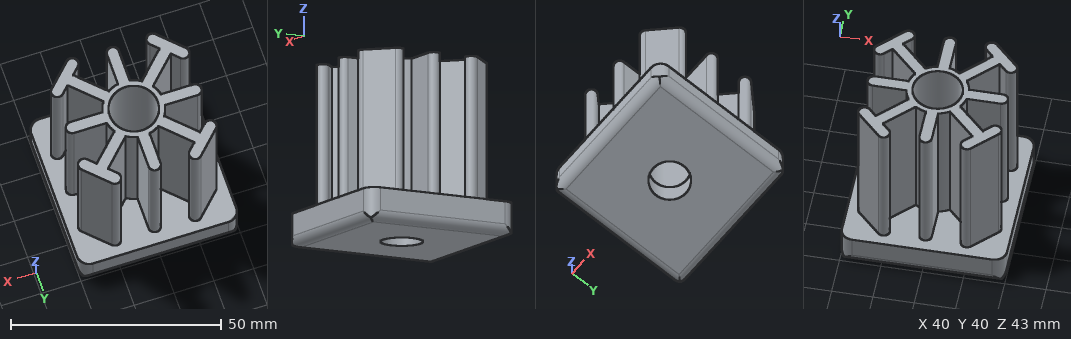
import cadquery as cq

total_height = 43.0
base_width = 40.0
base_height = 8.0
corner_radius = 3.0
bottom_edge_radius = 2.5

tube_diameter = 14.95
bore_diameter = 12.0
base_hole_diameter = 10.1

rib_width = 3.0
straight_rib_reach = 17.0
bar_center_distance = 18.3
bar_length = 11.1

stem_height = total_height - base_height


def make_base():
    """Square cap whose rounded bottom edges meet in mitres, trimmed by rounded vertical corners."""
    cap = cq.Workplane("XY").box(base_width, base_width, base_height, centered=(True, True, False))
    cap = cap.faces("<Z").edges().fillet(bottom_edge_radius)
    corner_trim = (
        cq.Workplane("XY")
        .rect(base_width, base_width)
        .extrude(base_height)
        .edges("|Z")
        .fillet(corner_radius)
    )
    return cap.intersect(corner_trim)


def make_straight_rib(angle):
    """Rib running out from the axis to a rounded tip."""
    slot_length = straight_rib_reach + rib_width / 2
    return (
        cq.Workplane("XY", origin=(0, 0, base_height))
        .center(straight_rib_reach - slot_length / 2, 0)
        .slot2D(slot_length, rib_width)
        .extrude(stem_height)
        .rotate((0, 0, 0), (0, 0, 1), angle)
    )


def make_t_rib(angle):
    """Rib running out from the axis to a round-ended crossbar."""
    web = (
        cq.Workplane("XY", origin=(0, 0, base_height))
        .center(bar_center_distance / 2, 0)
        .rect(bar_center_distance, rib_width)
        .extrude(stem_height)
    )
    bar = (
        cq.Workplane("XY", origin=(0, 0, base_height))
        .center(bar_center_distance, 0)
        .slot2D(bar_length, rib_width, 90)
        .extrude(stem_height)
    )
    return web.union(bar).rotate((0, 0, 0), (0, 0, 1), angle)


def make_bore():
    """Stepped bore revolved about Z, with its conical seat starting level with the base top."""
    bore_radius = bore_diameter / 2
    hole_radius = base_hole_diameter / 2
    seat_bottom = base_height - (bore_radius - hole_radius)
    half_section = [
        (0, 0),
        (hole_radius, 0),
        (hole_radius, seat_bottom),
        (bore_radius, base_height),
        (bore_radius, total_height),
        (0, total_height),
    ]
    return cq.Workplane("XZ").polyline(half_section).close().revolve(360, (0, 0, 0), (0, 1, 0))


tube = cq.Workplane("XY", origin=(0, 0, base_height)).circle(tube_diameter / 2).extrude(stem_height)
body = make_base().union(tube)
for quarter_turn in (0, 90, 180, 270):
    body = body.union(make_straight_rib(quarter_turn))
    body = body.union(make_t_rib(quarter_turn + 45))

result = body.cut(make_bore())